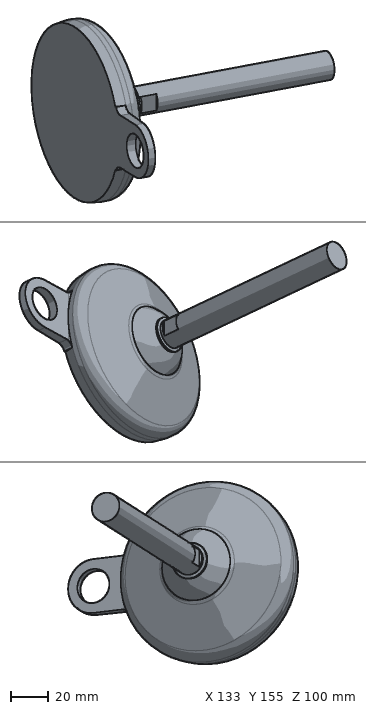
import cadquery as cq
import math

total_length = 155.0

foot_diameter = 100.0
face_radius = 49.1
taper_height = 5.9
shoulder_height = 9.0
shoulder_radius = 7.1
cone_angle = math.radians(20)
cone_top_radius = 21.7
dome_base_radius = 19.8
dome_base_height = 25.3
dome_sphere_radius = 24.0
dome_top_radius = 9.9

lug_width = 30.0
overall_width = 133.0
lug_end_height = 4.3
lug_hole_diameter = 18.9
lug_corner_radius = 5.0

collar_height = 1.1
collar_taper_height = 0.5
shank_radius = 8.0
flats_width = 13.0
flats_start = 36.7
flats_length = 9.8

foot_radius = foot_diameter / 2
lug_reach = overall_width - foot_radius
lug_end_radius = lug_width / 2
lug_center_x = lug_reach - lug_end_radius
shoulder_center_radius = foot_radius - shoulder_radius
cone_start_radius = shoulder_center_radius + shoulder_radius * math.sin(cone_angle)
cone_start_height = shoulder_height + shoulder_radius * math.cos(cone_angle)
cone_top_height = cone_start_height + (cone_start_radius - cone_top_radius) * math.tan(cone_angle)
dome_center_height = dome_base_height - math.sqrt(dome_sphere_radius**2 - dome_base_radius**2)


def dome_height(radius):
    """Height of the spherical dome at a distance from the axis."""
    return dome_center_height + math.sqrt(dome_sphere_radius**2 - radius**2)


dome_top_height = dome_height(dome_top_radius)
dome_middle_radius = (dome_base_radius + dome_top_radius) / 2


def revolve_about_y(profile):
    return profile.revolve(360, (0, 0, 0), (0, 1, 0))


def make_foot_body():
    shoulder_angle = (math.pi / 2 - cone_angle) / 2
    shoulder_middle = (
        shoulder_center_radius + shoulder_radius * math.cos(shoulder_angle),
        shoulder_height + shoulder_radius * math.sin(shoulder_angle),
    )
    profile = (
        cq.Workplane("XY")
        .lineTo(face_radius, 0)
        .lineTo(foot_radius, taper_height)
        .lineTo(foot_radius, shoulder_height)
        .threePointArc(shoulder_middle, (cone_start_radius, cone_start_height))
        .lineTo(cone_top_radius, cone_top_height)
        .tangentArcPoint((dome_base_radius, dome_base_height), relative=False)
        .threePointArc(
            (dome_middle_radius, dome_height(dome_middle_radius)),
            (dome_top_radius, dome_top_height),
        )
        .lineTo(0, dome_top_height)
        .close()
    )
    return revolve_about_y(profile)


def make_lug():
    """Tongue outline with flared roots, cut to a wedge that thins towards its end."""
    root_z = lug_end_radius + lug_corner_radius
    touch_distance = foot_radius + lug_corner_radius
    root_x = math.sqrt(touch_distance**2 - root_z**2)
    rim_x = root_x * foot_radius / touch_distance
    rim_z = root_z * foot_radius / touch_distance
    middle_angle = (math.atan2(-root_z, -root_x) - math.pi / 2) / 2
    middle_x = root_x + lug_corner_radius * math.cos(middle_angle)
    middle_z = root_z + lug_corner_radius * math.sin(middle_angle)

    outline = (
        cq.Workplane("XZ")
        .moveTo(0, -rim_z)
        .lineTo(rim_x, -rim_z)
        .threePointArc((middle_x, -middle_z), (root_x, -lug_end_radius))
        .lineTo(lug_center_x, -lug_end_radius)
        .threePointArc((lug_reach, 0), (lug_center_x, lug_end_radius))
        .lineTo(root_x, lug_end_radius)
        .threePointArc((middle_x, middle_z), (rim_x, rim_z))
        .lineTo(0, rim_z)
        .close()
        .extrude(-taper_height)
    )
    wedge = (
        cq.Workplane("XY")
        .polyline([
            (0, 0),
            (lug_reach, 0),
            (lug_reach, lug_end_height),
            (foot_radius, taper_height),
            (0, taper_height),
        ])
        .close()
        .extrude(root_z, both=True)
    )
    return outline.intersect(wedge)


def make_lug_hole():
    return (
        cq.Workplane("XZ")
        .center(lug_center_x, 0)
        .circle(lug_hole_diameter / 2)
        .extrude(-taper_height)
    )


def make_spindle():
    """Shank on a collar that covers the flat top of the dome."""
    collar_edge_height = dome_top_height + collar_height
    shank_start = collar_edge_height + collar_taper_height
    profile = (
        cq.Workplane("XY")
        .moveTo(0, dome_top_height)
        .lineTo(dome_top_radius, dome_top_height)
        .lineTo(dome_top_radius, collar_edge_height)
        .lineTo(shank_radius, shank_start)
        .lineTo(shank_radius, total_length)
        .lineTo(0, total_length)
        .close()
    )
    spindle = revolve_about_y(profile)

    for side in (-1, 1):
        flat_cut = cq.Workplane("XY").box(shank_radius, flats_length, 2 * shank_radius).translate(
            (side * (flats_width + shank_radius) / 2, flats_start + flats_length / 2, 0)
        )
        spindle = spindle.cut(flat_cut)
    return spindle


foot = make_foot_body().union(make_lug()).cut(make_lug_hole())
spindle = make_spindle()

result = cq.Compound.makeCompound([foot.val(), spindle.val()])